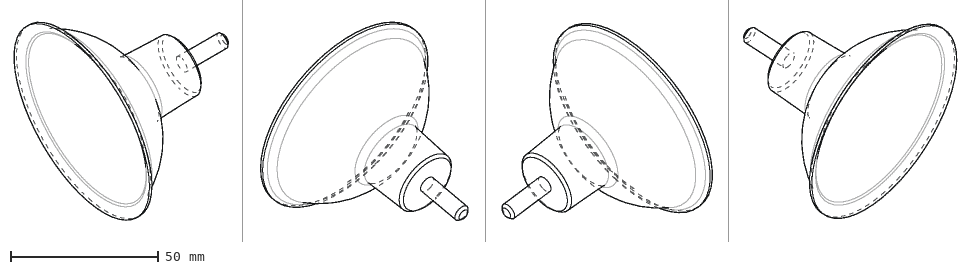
import cadquery as cq
import math


rim_radius = 37.5
rim_height = 1.1
lip_angle = 25.0

dome_radius = 37.5
dome_apex = 25.0
dish_radius = 54.5
dish_depth = 13.2

cup_height = 43.0
neck_top_radius = 11.8
neck_draft = 2.0
neck_chamfer = 1.0

lip_outer_fillet = 5.0
lip_inner_fillet = 5.0
neck_fillet = 3.0

stud_radius = 3.0
stud_end = 61.5
stud_chamfer = 1.0

dome_centre = dome_apex - dome_radius
dish_centre = dish_depth - dish_radius


def line_meets_sphere(start, direction, centre, radius):
    """First point (r, y) where a line from outside enters a sphere centred on the axis."""
    r, y = start
    dr, dy = direction
    along = r * dr + (y - centre) * dy
    gap = r ** 2 + (y - centre) ** 2 - radius ** 2
    distance = -along - math.sqrt(along ** 2 - gap)
    return (r + distance * dr, y + distance * dy)


def sphere_point(r, centre, radius):
    """Point (r, y) on the upper half of a sphere centred on the axis."""
    return (r, centre + math.sqrt(radius ** 2 - r ** 2))


def turn(profile):
    """Revolve a closed half profile about the Y axis."""
    return profile.close().revolve(360, (0, 0, 0), (0, 1, 0))


def round_ring(body, height, radius):
    """Fillet the circular edge centred on the axis at the given height."""
    return body.edges(cq.NearestToPointSelector((0, height, 0))).fillet(radius)


def make_cup():
    lip = math.radians(lip_angle)
    draft = math.radians(neck_draft)
    inward = (-math.cos(lip), math.sin(lip))
    down_neck = (math.sin(draft), -math.cos(draft))

    neck_top = (neck_top_radius, cup_height)
    dish_edge = line_meets_sphere((rim_radius, 0), inward, dish_centre, dish_radius)
    dome_edge = line_meets_sphere((rim_radius, rim_height), inward, dome_centre, dome_radius)
    neck_base = line_meets_sphere(neck_top, down_neck, dome_centre, dome_radius)
    dome_middle = sphere_point((dome_edge[0] + neck_base[0]) / 2, dome_centre, dome_radius)
    dish_middle = sphere_point(dish_edge[0] / 2, dish_centre, dish_radius)

    cup = turn(
        cq.Workplane("XY")
        .moveTo(0, dish_depth)
        .threePointArc(dish_middle, dish_edge)
        .lineTo(rim_radius, 0)
        .lineTo(rim_radius, rim_height)
        .lineTo(*dome_edge)
        .threePointArc(dome_middle, neck_base)
        .lineTo(*neck_top)
        .lineTo(0, cup_height)
    )
    cup = round_ring(cup, dish_edge[1], lip_inner_fillet)
    cup = round_ring(cup, dome_edge[1], lip_outer_fillet)
    cup = round_ring(cup, neck_base[1], neck_fillet)
    return cup.faces(">Y").edges().chamfer(neck_chamfer)


def make_stud():
    """Round stud seated on the top face of the neck."""
    stud = turn(
        cq.Workplane("XY")
        .moveTo(0, cup_height)
        .lineTo(stud_radius, cup_height)
        .lineTo(stud_radius, stud_end)
        .lineTo(0, stud_end)
    )
    return stud.faces(">Y").edges().chamfer(stud_chamfer)


cup = make_cup()
stud = make_stud()

result = cq.Compound.makeCompound([cup.val(), stud.val()])